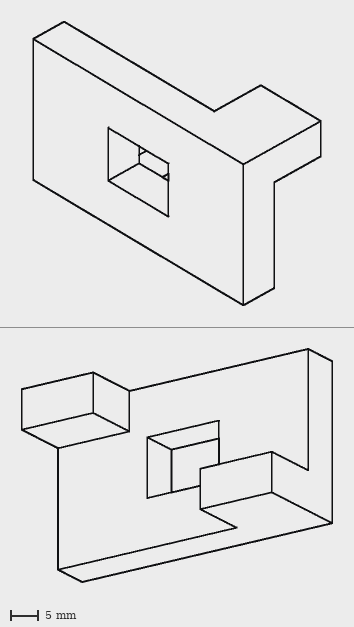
import cadquery as cq

length = 56.0
height = 32.0
plate_thickness = 8.0

window_width = 16.0
window_height = 12.0

total_depth = 20.0
lug_width = 16.0
lug_height = 8.0


def corner_block(width, depth, block_height, x, z):
    """Box with its lower left front corner at (x, 0, z)."""
    return cq.Workplane("XY").box(width, depth, block_height, centered=False).translate((x, 0, z))


plate = corner_block(length, plate_thickness, height, 0, 0)
window = corner_block(
    window_width,
    plate_thickness,
    window_height,
    (length - window_width) / 2,
    (height - window_height) / 2,
)

lower_left_lug = corner_block(lug_width, total_depth, lug_height, 0, 0)
upper_right_lug = corner_block(lug_width, total_depth, lug_height, length - lug_width, height - lug_height)

result = plate.cut(window).union(lower_left_lug).union(upper_right_lug)